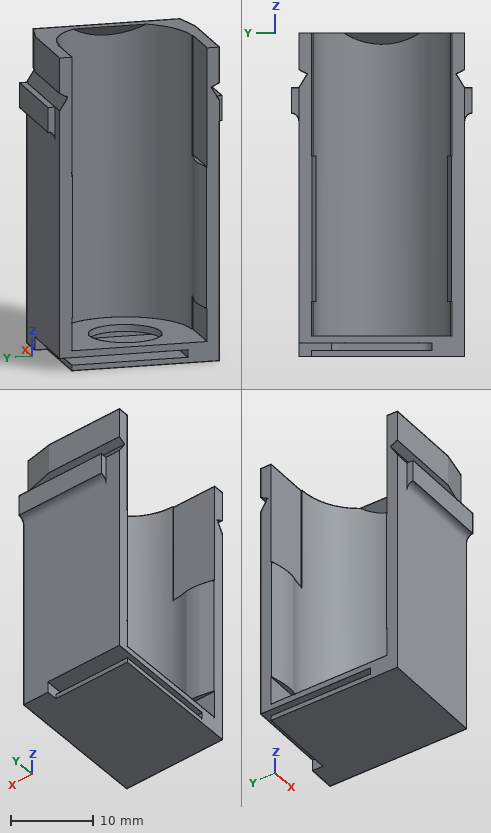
import cadquery as cq

depth = 14.9
height = 39.43
overall_width = 22.05
rib_projection = 0.9
body_width = overall_width - 2 * rib_projection
half_body = body_width / 2

floor_top = 2.52
bore_radius = 8.4
bore_x = 6.4
mouth_half_width = 8.55
lip_x = 13.4
lip_height = depth - lip_x
window_radius = 4.5
window_x = 6.5

bump_bottom = 6.7
bump_top = 24.45
bump_start_half_width = 8.48
bump_half_width = 8.0
bump_crest_start = 1.97
bump_crest_end = 4.35
bump_shoulder_half_width = 8.1

groove_top = 34.97
groove_apex = 34.42
groove_bottom = 32.75
groove_depth = 1.03
taper_start = 10.9
taper_depth = 0.83
rib_start = 2.1
rib_fillet = 0.95
rib_underside = 29.65

slot_bottom = 0.7
slot_top = 1.65
pocket_half_width = 6.1
pocket_corner_radius = 1.1
pocket_depth = 12.22
channel_depth = pocket_depth - pocket_corner_radius


def box(x_range, y_range, z_range):
    """Box spanning the given coordinate ranges."""
    (x0, x1), (y0, y1), (z0, z1) = x_range, y_range, z_range
    return cq.Workplane("XY").box(x1 - x0, y1 - y0, z1 - z0, centered=False).translate((x0, y0, z0))


def prism(points, bottom, top):
    """Vertical prism over an XY polygon."""
    return cq.Workplane("XY").workplane(offset=bottom).polyline(points).close().extrude(top - bottom)


def both_sides(solid):
    """The solid joined with its mirror image across the XZ plane."""
    return solid.union(solid.mirror("XZ"))


def cavity():
    bore = cq.Workplane("XY").workplane(offset=floor_top).center(bore_x, 0).circle(bore_radius)
    bore = bore.extrude(height - floor_top)
    lip = (
        cq.Workplane("XZ")
        .moveTo(lip_x, height)
        .lineTo(depth, height)
        .lineTo(depth, height - lip_height)
        .close()
        .extrude(half_body, both=True)
    )
    bore = bore.cut(lip)

    mouth_y = (-mouth_half_width, mouth_half_width)
    for bottom, top in ((floor_top, bump_bottom), (bump_top, height)):
        bore = bore.union(box((0, bore_x), mouth_y, (bottom, top)))

    half_mouth = (
        cq.Workplane("XY")
        .workplane(offset=bump_bottom)
        .lineTo(0, bump_start_half_width)
        .lineTo(bump_crest_start, bump_shoulder_half_width)
        .threePointArc(
            ((bump_crest_start + bump_crest_end) / 2, bump_half_width),
            (bump_crest_end, bump_shoulder_half_width),
        )
        .lineTo(bore_x, bump_shoulder_half_width)
        .lineTo(bore_x, 0)
        .close()
        .extrude(bump_top - bump_bottom)
    )
    return bore.union(both_sides(half_mouth))


def floor_window():
    """Round opening from the floor down into the slot."""
    base = cq.Workplane("XY").workplane(offset=slot_top)
    return base.center(window_x, 0).circle(window_radius).extrude(floor_top - slot_top)


def side_groove():
    profile = [
        (half_body, groove_bottom),
        (half_body - groove_depth, groove_apex),
        (half_body, groove_top),
    ]
    return cq.Workplane("YZ").polyline(profile).close().extrude(depth)


def rear_taper():
    corner = [(taper_start, half_body), (depth, half_body), (depth, half_body - taper_depth)]
    return prism(corner, groove_apex, height)


def side_rib():
    tip = overall_width / 2
    return (
        cq.Workplane("YZ")
        .workplane(offset=rib_start)
        .moveTo(half_body, groove_bottom)
        .lineTo(tip, groove_bottom)
        .lineTo(tip, rib_underside)
        .radiusArc((half_body, rib_underside - rib_fillet), -rib_fillet)
        .close()
        .extrude(depth - rib_start)
    )


def floor_slot():
    pocket = box((0, pocket_depth), (-pocket_half_width, pocket_half_width), (slot_bottom, slot_top))
    pocket = pocket.edges("|Z and >X").fillet(pocket_corner_radius)
    channel = box((0, channel_depth), (0, half_body), (slot_bottom, slot_top))
    corner_notch = box((0, channel_depth), (mouth_half_width, half_body), (0, slot_top))
    return pocket.union(channel).union(corner_notch)


body = box((0, depth), (-half_body, half_body), (0, height))
body = body.cut(cavity()).cut(floor_window())
body = body.cut(both_sides(side_groove())).cut(both_sides(rear_taper()))
body = body.union(both_sides(side_rib()))
result = body.cut(floor_slot())